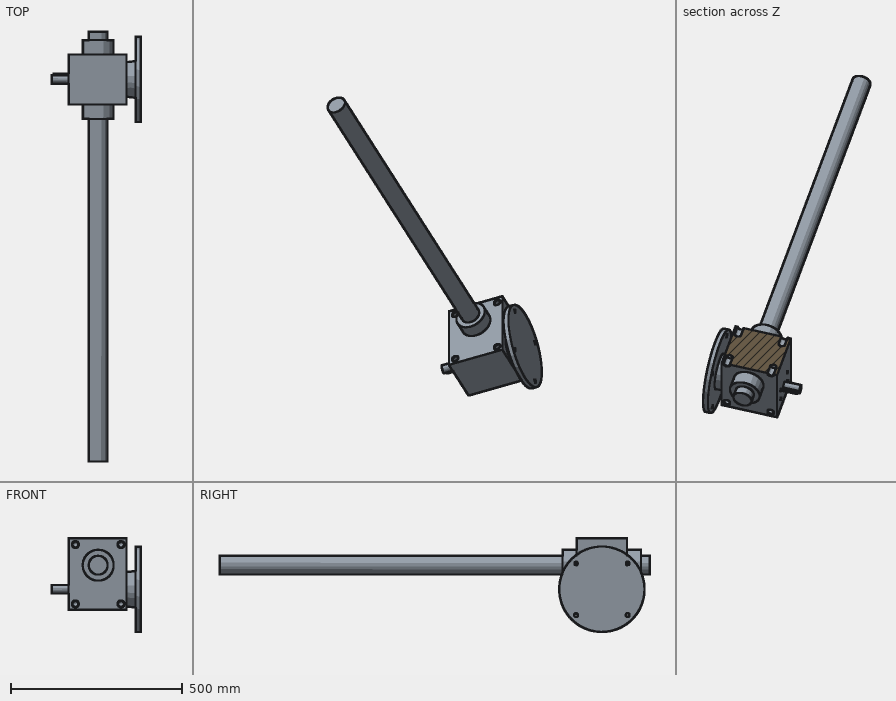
import cadquery as cq


block_left = 87.0
block_right = 83.0
block_top = 79.0
block_bottom = 130.0
block_depth = 147.0

collar_diameter = 90.0
collar_length = 41.0

screw_diameter = 55.0
screw_length = 1255
screw_back_projection = 25.0

shaft_drop = 70.0
shaft_diameter = 25.0
shaft_projection = 49.0
shaft_centre_hole_diameter = 6.7
shaft_centre_hole_mouth_diameter = 10.2
shaft_centre_hole_depth = 25.0

key_width = 9.0
key_height = 6.0
key_projection = 5.0
key_tip_inset = 5.0

flange_diameter = 250.0
flange_thickness = 15.0
flange_hole_diameter = 10.2
flange_hole_offset = 75.0
neck_block_diameter = 102.0
neck_flange_diameter = 108.0
neck_length = 26.0

mount_hole_diameter = 18.0
mount_hole_mouth_diameter = 20.0
mount_hole_depth = 31.0
mount_hole_half_pitch_x = 67.0
mount_hole_top_inset = 19.0
mount_hole_bottom_inset = 18.0

cover_hole_diameter = 6.7
cover_hole_mouth_diameter = 8.2
cover_hole_depth = 15.0
cover_hole_half_pitch_y = 35.0
cover_hole_half_pitch_z = 20.0

drill_point_ratio = 0.3

block_width = block_left + block_right
block_height = block_top + block_bottom
block_front = -block_depth / 2
block_back = block_depth / 2
shaft_z = -shaft_drop
screw_back = block_back + collar_length + screw_back_projection
shaft_tip_x = -block_left - shaft_projection
flange_near_x = block_right + neck_length


def rod_x(start_x, length, diameter, y=0, z=shaft_z):
    """Cylinder that starts at start_x and runs toward +X."""
    return cq.Workplane("YZ", origin=(start_x, y, z)).circle(diameter / 2).extrude(length)


def rod_y(start_y, length, diameter):
    """Cylinder on the screw axis that starts at start_y and runs toward +Y."""
    return cq.Workplane("XZ", origin=(0, start_y, 0)).circle(diameter / 2).extrude(-length)


def drilled_hole(diameter, depth, mouth_diameter):
    """Cutter along +Z from the origin: a 45 degree mouth, a straight wall and a drill point."""
    radius = diameter / 2
    mouth_radius = mouth_diameter / 2
    return (
        cq.Workplane("XZ")
        .moveTo(0, 0)
        .lineTo(mouth_radius, 0)
        .lineTo(radius, mouth_radius - radius)
        .lineTo(radius, depth)
        .lineTo(0, depth + drill_point_ratio * diameter)
        .close()
        .revolve(360, (0, 0, 0), (0, 1, 0))
    )


def make_block_with_collars():
    block = cq.Workplane("XY").box(block_width, block_depth, block_height, centered=False)
    block = block.translate((-block_left, block_front, -block_bottom))
    collars = rod_y(block_front - collar_length, block_depth + 2 * collar_length, collar_diameter)
    return block.union(collars)


def make_motor_flange():
    flange_radius = flange_diameter / 2
    flange = (
        cq.Workplane("XY")
        .moveTo(block_right, 0)
        .lineTo(block_right, neck_block_diameter / 2)
        .lineTo(flange_near_x, neck_flange_diameter / 2)
        .lineTo(flange_near_x, flange_radius)
        .lineTo(flange_near_x + flange_thickness, flange_radius)
        .lineTo(flange_near_x + flange_thickness, 0)
        .close()
        .revolve(360, (0, 0, 0), (1, 0, 0))
        .translate((0, 0, shaft_z))
    )
    for side_y in (-1, 1):
        for side_z in (-1, 1):
            hole_y = side_y * flange_hole_offset
            hole_z = shaft_z + side_z * flange_hole_offset
            hole = rod_x(flange_near_x, flange_thickness, flange_hole_diameter, hole_y, hole_z)
            flange = flange.cut(hole)
    return flange


def cut_mounting_holes(body):
    front_cutter = drilled_hole(mount_hole_diameter, mount_hole_depth, mount_hole_mouth_diameter)
    front_cutter = front_cutter.rotate((0, 0, 0), (1, 0, 0), -90)
    back_cutter = front_cutter.mirror("XZ")
    for x in (-mount_hole_half_pitch_x, mount_hole_half_pitch_x):
        for z in (mount_hole_bottom_inset - block_bottom, block_top - mount_hole_top_inset):
            body = body.cut(front_cutter.translate((x, block_front, z)))
            body = body.cut(back_cutter.translate((x, block_back, z)))
    return body


def cut_cover_holes(body):
    cutter = drilled_hole(cover_hole_diameter, cover_hole_depth, cover_hole_mouth_diameter)
    cutter = cutter.rotate((0, 0, 0), (0, 1, 0), 90)
    for side_y in (-1, 1):
        for side_z in (-1, 1):
            hole_y = side_y * cover_hole_half_pitch_y
            hole_z = shaft_z + side_z * cover_hole_half_pitch_z
            body = body.cut(cutter.translate((-block_left, hole_y, hole_z)))
    return body


def make_screw():
    return rod_y(screw_back - screw_length, screw_length, screw_diameter)


def make_shaft():
    shaft = rod_x(shaft_tip_x, shaft_projection, shaft_diameter)
    cutter = drilled_hole(
        shaft_centre_hole_diameter, shaft_centre_hole_depth, shaft_centre_hole_mouth_diameter
    )
    cutter = cutter.rotate((0, 0, 0), (0, 1, 0), 90)
    return shaft.cut(cutter.translate((shaft_tip_x, 0, shaft_z)))


def make_key():
    key_length = shaft_projection - key_tip_inset
    outer_y = shaft_diameter / 2 + key_projection
    key = cq.Workplane("XY").box(key_length, key_height, key_width, centered=(False, False, True))
    return key.translate((shaft_tip_x + key_tip_inset, outer_y - key_height, shaft_z))


screw = make_screw()
key = make_key()
shaft = make_shaft().cut(key)
housing = make_block_with_collars().union(make_motor_flange())
housing = cut_cover_holes(cut_mounting_holes(housing.cut(screw)))

result = cq.Compound.makeCompound([housing.val(), screw.val(), shaft.val(), key.val()])